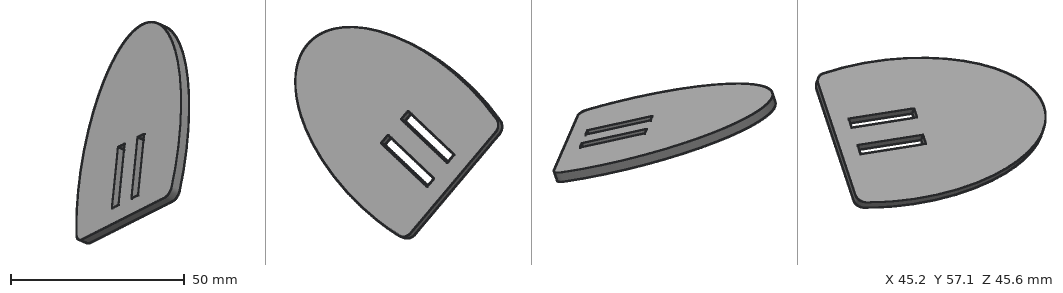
import cadquery as cq
import math

plate_thickness = 3.0
half_width = 23.45
half_length = 45.65
base_offset = 17.7
corner_radius = 3.0

slot_width = 3.1
slot_length = 20.0
slot_pitch = 9.1
slot_to_base = 5.5

base_angle = 46.0
lean_angle = 28.6


def plate_plane():
    """Plane of the outer face: x along the base edge, y from the base to the tip."""
    slope = math.radians(base_angle)
    lean = math.radians(lean_angle)
    base_direction = (math.cos(slope), 0, math.sin(slope))
    outward_normal = (
        -math.cos(lean) * math.sin(slope),
        -math.sin(lean),
        math.cos(lean) * math.cos(slope),
    )
    return cq.Plane(origin=(0, 0, 0), xDir=base_direction, normal=outward_normal)


def plate():
    """Truncated elliptical plate with rounded base corners, lying below its outer face."""
    half_base = half_width * math.sqrt(1 - (base_offset / half_length) ** 2)
    corner_angle = math.degrees(math.acos(-base_offset / half_length))
    blank = (
        cq.Workplane("XY")
        .moveTo(half_base, 0)
        .ellipseArc(
            half_length,
            half_width,
            angle1=-corner_angle,
            angle2=corner_angle,
            rotation_angle=90,
            startAtCurrent=True,
        )
        .close()
        .extrude(-plate_thickness)
    )
    return blank.edges("|Z").fillet(corner_radius)


def slots():
    """Two parallel slots, symmetric about the long axis of the plate."""
    slot_centre = slot_to_base + slot_length / 2
    return (
        cq.Workplane("XY")
        .pushPoints([(side * slot_pitch / 2, slot_centre) for side in (-1, 1)])
        .rect(slot_width, slot_length)
        .extrude(-plate_thickness)
    )


flat_plate = plate().cut(slots())
result = cq.Workplane(obj=flat_plate.val().moved(plate_plane().location))